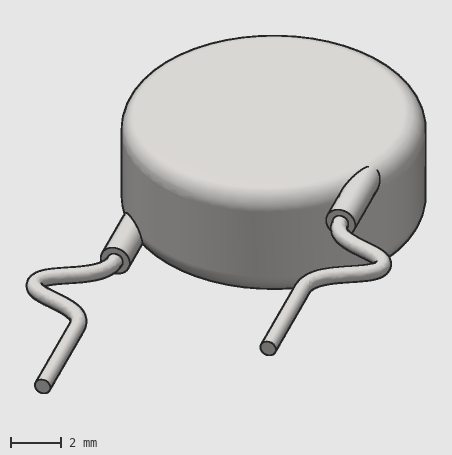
import cadquery as cq

disc_diameter = 12.0
disc_thickness = 5.0
disc_edge_radius = 0.99
disc_radius = disc_diameter / 2

sleeve_diameter = 1.2
sleeve_end_y = -disc_radius

overall_length = 21.5
overall_width = 14.99
lead_diameter = 0.65
lead_pitch = 9.3
lead_offset_x = lead_pitch / 2
lead_offset_z = 1.8
lead_tip_y = disc_radius - overall_length

kink_length = 5.0
kink_width = (overall_width - lead_diameter) / 2 - lead_offset_x
kink_foot_pull = 1.63
kink_peak_pull = 1.03


def make_sleeve(side):
    """Sleeve from inside the disc to its open end; side is -1 (left, low) or +1 (right, high)."""
    return (
        cq.Workplane("XZ")
        .center(side * lead_offset_x, side * lead_offset_z)
        .circle(sleeve_diameter / 2)
        .extrude(-sleeve_end_y)
    )


def make_body():
    """Disc with rounded rims and its two sleeves, one continuous coating."""
    body = (
        cq.Workplane("XY", origin=(0, 0, -disc_thickness / 2))
        .circle(disc_radius)
        .extrude(disc_thickness)
        .faces("|Z")
        .edges()
        .fillet(disc_edge_radius)
    )
    for side in (-1, 1):
        body = body.union(make_sleeve(side))
    return body


def make_lead(side):
    """Kinked round wire from the sleeve end to the lead tip."""
    peak_along = kink_length / 2

    def path_point(outward, along):
        """Point a given distance outward from the straight wire and along it from the sleeve end."""
        return side * (lead_offset_x + outward), sleeve_end_y - along

    path = (
        cq.Workplane("XY", origin=(0, 0, side * lead_offset_z))
        .bezier([
            path_point(0, 0),
            path_point(0, kink_foot_pull),
            path_point(kink_width, peak_along - kink_peak_pull),
            path_point(kink_width, peak_along),
        ])
        .bezier([
            path_point(kink_width, peak_along),
            path_point(kink_width, peak_along + kink_peak_pull),
            path_point(0, kink_length - kink_foot_pull),
            path_point(0, kink_length),
        ])
        .lineTo(side * lead_offset_x, lead_tip_y)
    )
    return (
        cq.Workplane("XZ", origin=(0, sleeve_end_y, 0))
        .center(side * lead_offset_x, side * lead_offset_z)
        .circle(lead_diameter / 2)
        .sweep(path)
    )


body = make_body()
leads = [make_lead(side) for side in (-1, 1)]

result = cq.Compound.makeCompound([body.val(), *[lead.val() for lead in leads]])